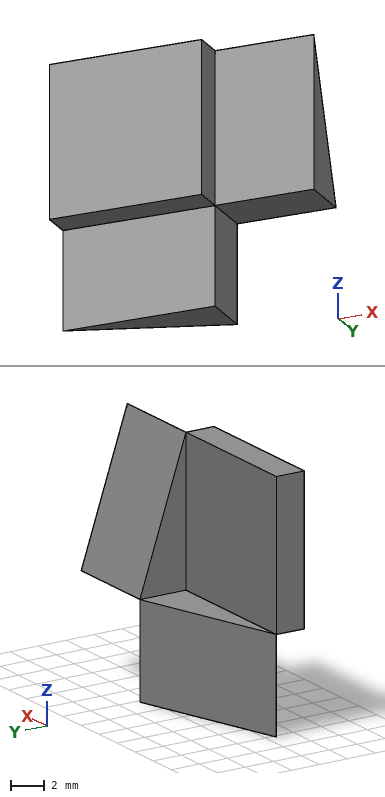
import cadquery as cq

plate_side = 10.0
plate_thickness = 2.0
wedge_width = 6.5
wedge_rise = 3.3
joint_lap = 0.01

corner_x = plate_side
corner_z = wedge_width
top_z = corner_z + plate_side


def make_plate():
    """Square plate in front of the plane Y = 0, lapping the wedges below and beside it."""
    lapped_side = plate_side + joint_lap
    return (
        cq.Workplane("XY")
        .box(lapped_side, plate_thickness, lapped_side, centered=False)
        .translate((0, -plate_thickness, corner_z - joint_lap))
    )


def make_lower_wedge():
    """Wedge below the plate, thickening along +X."""
    profile = [(0, 0), (corner_x, 0), (corner_x, wedge_rise)]
    return cq.Workplane("XY").polyline(profile).close().extrude(wedge_width)


def make_side_wedge():
    """Wedge beside the plate, thickening downward."""
    profile = [(0, top_z), (0, corner_z), (wedge_rise, corner_z)]
    return (
        cq.Workplane("YZ")
        .workplane(offset=corner_x)
        .polyline(profile)
        .close()
        .extrude(wedge_width)
    )


result = make_plate().union(make_lower_wedge()).union(make_side_wedge())